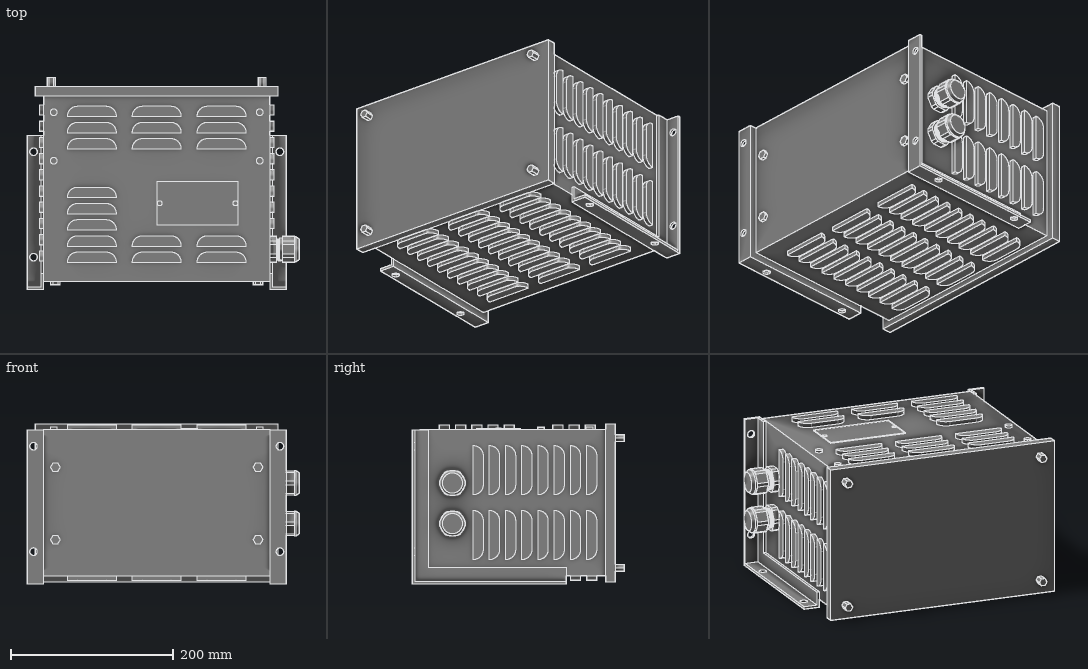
import cadquery as cq
import math

BOX_HALF_WIDTH = 139.5
BOX_FRONT = 9.7
BOX_BOTTOM = 10.0
BOX_TOP = 191.0
BOX_MID_HEIGHT = (BOX_BOTTOM + BOX_TOP) / 2

PLATE_WIDTH = 299.7
PLATE_BOTTOM = 2.5
PLATE_TOP = 197.5
PLATE_FRONT = 238.5
PLATE_THICKNESS = 12.0
PLATE_REAR = PLATE_FRONT + PLATE_THICKNESS
PLATE_MID_HEIGHT = (PLATE_BOTTOM + PLATE_TOP) / 2
STUD_ACROSS_FLATS = 8.7
STUD_LENGTH = 11.0
STUD_SPACING_X = 260.0
STUD_SPACING_Z = 160.0

BRACKET_LENGTH = 190.2
BRACKET_HEIGHT = 190.2
BRACKET_SHEET = 3.5
WEB_LEG = 20.0
BRACKET_OUTER_X = 160.0
FLANGE_WIDTH = BRACKET_OUTER_X - BOX_HALF_WIDTH
BRACKET_HOLE_DIAMETER = 9.0
BRACKET_HOLE_X = 152.0
BRACKET_HOLE_POSITIONS = (40.0, 170.0)

LOUVRE_LENGTH = 60.5
LOUVRE_DEPTH = 12.8
LOUVRE_CORNER_RADIUS = 12.5
LOUVRE_HEIGHT = 5.5
LOUVRE_COLUMN_PITCH = 80.0
LOUVRE_PITCH = LOUVRE_COLUMN_PITCH / 4
LOUVRE_ROWS = 10
SIDE_LOUVRE_FIRST_Y = 215.0
TOP_LOUVRE_FIRST_Y = 213.5
GLAND_SIDE_ROWS = 8
TOP_LEFT_ROWS = (0, 1, 2, 5, 6, 7, 8, 9)
TOP_OTHER_ROWS = (0, 1, 2, 8, 9)

TOP_SCREW_DIAMETER = 8.5
TOP_SCREW_HEIGHT = 2.7
TOP_SCREW_X = 127.0
TOP_SCREW_YS = (159.0, 218.7)
FRONT_BOLT_ACROSS_FLATS = 10.5
FRONT_BOLT_HEIGHT = 4.0
FRONT_BOLT_X = 125.0
FRONT_BOLT_ZS = (54.8, 144.0)

LABEL_WIDTH = 100.0
LABEL_DEPTH = 54.0
LABEL_THICKNESS = 1.0
LABEL_CENTRE = (50.5, 106.5)
RIVET_DIAMETER = 6.0
RIVET_SPACING = 93.5
RIVET_HEIGHT = 0.5

GLAND_Y = 49.7
GLAND_ZS = (74.5, 124.5)
GLAND_END_X = 176.0
HEX_ACROSS_FLATS = 30.0
HEX_TURNED_DIAMETER = 32.3
BASE_LENGTH = 8.0
NECK_LENGTH = 4.0
NECK_DIAMETER = 22.2
NECK_RIBS = 32
RIB_WIDTH = 1.0
RIB_DIAMETER = 25.0
COLLAR_LENGTH = 3.5
COLLAR_DIAMETER = 27.5
NUT_LENGTH = 14.8
CAP_DIAMETER = 31.0
CAP_TAPER_LENGTH = 4.0
CAP_TAPER_DEPTH = 3.0


def box_between(x_range, y_range, z_range):
    """Box given by its lower and upper limit along each axis."""
    size = [high - low for low, high in (x_range, y_range, z_range)]
    return cq.Workplane("XY").box(*size, centered=False).translate((x_range[0], y_range[0], z_range[0]))


def corner_diameter(across_flats):
    """Diameter over the corners of a hexagon."""
    return across_flats / math.cos(math.pi / 6)


def louvre_outline(plane):
    """Louvre outline: straight edge on the local X axis, rounded corners toward local +Y."""
    half = LOUVRE_LENGTH / 2
    straight = LOUVRE_DEPTH - LOUVRE_CORNER_RADIUS
    return (
        cq.Workplane(plane)
        .moveTo(-half, 0)
        .lineTo(half, 0)
        .lineTo(half, straight)
        .radiusArc((half - LOUVRE_CORNER_RADIUS, LOUVRE_DEPTH), -LOUVRE_CORNER_RADIUS)
        .lineTo(LOUVRE_CORNER_RADIUS - half, LOUVRE_DEPTH)
        .radiusArc((-half, straight), -LOUVRE_CORNER_RADIUS)
        .close()
    )


def louvre(x_direction, outward):
    """One louvre standing on a wall at the origin; its straight edge faces the front."""
    plane = cq.Plane(origin=(0, 0, 0), xDir=x_direction, normal=outward)
    return louvre_outline(plane).extrude(LOUVRE_HEIGHT)


def top_louvres():
    """Louvres on the top, leaving room for the label."""
    one = louvre((1, 0, 0), (0, 0, 1))
    placed = []
    for column, rows in ((-1, TOP_LEFT_ROWS), (0, TOP_OTHER_ROWS), (1, TOP_OTHER_ROWS)):
        for row in rows:
            y = TOP_LOUVRE_FIRST_Y - row * LOUVRE_PITCH
            placed.append(one.translate((column * LOUVRE_COLUMN_PITCH, y, BOX_TOP)))
    return placed


def bottom_louvres():
    """Full field of louvres on the underside."""
    one = louvre((-1, 0, 0), (0, 0, -1))
    placed = []
    for column in (-1, 0, 1):
        for row in range(LOUVRE_ROWS):
            y = SIDE_LOUVRE_FIRST_Y - row * LOUVRE_PITCH
            placed.append(one.translate((column * LOUVRE_COLUMN_PITCH, y, BOX_BOTTOM)))
    return placed


def side_louvres(side, rows):
    """Two columns of louvres on the left (side = -1) or right (side = 1) wall."""
    one = louvre((0, 0, -side), (side, 0, 0))
    placed = []
    for column in (-0.5, 0.5):
        z = BOX_MID_HEIGHT + column * LOUVRE_COLUMN_PITCH
        for row in range(rows):
            y = SIDE_LOUVRE_FIRST_Y - row * LOUVRE_PITCH
            placed.append(one.translate((side * BOX_HALF_WIDTH, y, z)))
    return placed


def right_bracket():
    """Bracket on the right wall, with two holes in each flange."""
    wall = BOX_HALF_WIDTH
    web_x = (wall, wall + BRACKET_SHEET)
    flange_x = (wall, wall + FLANGE_WIDTH)
    upright = box_between(web_x, (0, WEB_LEG), (0, BRACKET_HEIGHT))
    foot = box_between(web_x, (0, BRACKET_LENGTH), (0, WEB_LEG))
    front_flange = box_between(flange_x, (0, BRACKET_SHEET), (0, BRACKET_HEIGHT))
    bottom_flange = box_between(flange_x, (0, BRACKET_LENGTH), (0, BRACKET_SHEET))
    front_holes = (
        cq.Workplane("XZ")
        .pushPoints([(BRACKET_HOLE_X, z) for z in BRACKET_HOLE_POSITIONS])
        .circle(BRACKET_HOLE_DIAMETER / 2)
        .extrude(-BRACKET_SHEET)
    )
    bottom_holes = (
        cq.Workplane("XY")
        .pushPoints([(BRACKET_HOLE_X, y) for y in BRACKET_HOLE_POSITIONS])
        .circle(BRACKET_HOLE_DIAMETER / 2)
        .extrude(BRACKET_SHEET)
    )
    bracket = upright.union(foot).union(front_flange).union(bottom_flange)
    return bracket.cut(front_holes).cut(bottom_holes)


def rear_studs():
    """Four hexagonal studs behind the rear plate."""
    return (
        cq.Workplane("XZ", origin=(0, PLATE_REAR, PLATE_MID_HEIGHT))
        .rarray(STUD_SPACING_X, STUD_SPACING_Z, 2, 2)
        .polygon(6, corner_diameter(STUD_ACROSS_FLATS))
        .extrude(-STUD_LENGTH)
    )


def front_bolts():
    """Four hexagonal bolt heads on the front wall."""
    return (
        cq.Workplane("XZ", origin=(0, BOX_FRONT, 0))
        .pushPoints([(side * FRONT_BOLT_X, z) for side in (-1, 1) for z in FRONT_BOLT_ZS])
        .polygon(6, corner_diameter(FRONT_BOLT_ACROSS_FLATS))
        .extrude(FRONT_BOLT_HEIGHT)
    )


def top_screws():
    """Four round screw heads on the top."""
    return (
        cq.Workplane("XY", origin=(0, 0, BOX_TOP))
        .pushPoints([(side * TOP_SCREW_X, y) for side in (-1, 1) for y in TOP_SCREW_YS])
        .circle(TOP_SCREW_DIAMETER / 2)
        .extrude(TOP_SCREW_HEIGHT)
    )


def label():
    """Label plate on the top with its two rivets."""
    base = cq.Workplane("XY", origin=(*LABEL_CENTRE, BOX_TOP))
    plate = base.rect(LABEL_WIDTH, LABEL_DEPTH).extrude(LABEL_THICKNESS)
    rivets = (
        base.rarray(RIVET_SPACING, 3.5, 2, 1)
        .circle(RIVET_DIAMETER / 2)
        .extrude(LABEL_THICKNESS + RIVET_HEIGHT)
    )
    return plate.union(rivets)


def make_enclosure():
    """Box, rear plate, brackets, louvres, label and fasteners as one solid."""
    box_x = (-BOX_HALF_WIDTH, BOX_HALF_WIDTH)
    plate_x = (-PLATE_WIDTH / 2, PLATE_WIDTH / 2)
    enclosure = box_between(box_x, (BOX_FRONT, PLATE_FRONT), (BOX_BOTTOM, BOX_TOP))
    rear_plate = box_between(plate_x, (PLATE_FRONT, PLATE_REAR), (PLATE_BOTTOM, PLATE_TOP))
    bracket = right_bracket()
    parts = [rear_plate, bracket, bracket.mirror("YZ")]
    parts += [rear_studs(), front_bolts(), top_screws(), label()]
    parts += top_louvres()
    parts += bottom_louvres()
    parts += side_louvres(-1, LOUVRE_ROWS)
    parts += side_louvres(1, GLAND_SIDE_ROWS)
    solids = [solid for part in parts for solid in part.vals()]
    return cq.Workplane(enclosure.val().fuse(*solids))


def turned_hexagon(start, length):
    """Hexagonal section along X with flats up and down and its corners turned to a cylinder."""
    plane = cq.Workplane("YZ", origin=(start, 0, 0))
    hexagon = plane.polygon(6, corner_diameter(HEX_ACROSS_FLATS)).extrude(length)
    return hexagon.intersect(plane.circle(HEX_TURNED_DIAMETER / 2).extrude(length))


def ribbed_neck(start):
    """Narrow neck with radial ribs along it."""
    plane = cq.Workplane("YZ", origin=(start, 0, 0))
    neck = plane.circle(NECK_DIAMETER / 2).extrude(NECK_LENGTH)
    ribs = (
        plane.polarArray(RIB_DIAMETER / 4, 0, 360, NECK_RIBS)
        .rect(RIB_DIAMETER / 2, RIB_WIDTH)
        .extrude(NECK_LENGTH)
    )
    return neck.union(ribs)


def make_gland():
    """Cable gland on the X axis: hexagonal base, neck, collar, hexagonal nut and tapered cap."""
    neck_start = BOX_HALF_WIDTH + BASE_LENGTH
    collar_start = neck_start + NECK_LENGTH
    nut_start = collar_start + COLLAR_LENGTH
    cap_start = nut_start + NUT_LENGTH
    collar = (
        cq.Workplane("YZ", origin=(collar_start, 0, 0))
        .circle(COLLAR_DIAMETER / 2)
        .extrude(COLLAR_LENGTH)
    )
    cap = (
        cq.Workplane("YZ", origin=(cap_start, 0, 0))
        .circle(CAP_DIAMETER / 2)
        .extrude(GLAND_END_X - cap_start)
        .faces(">X")
        .edges()
        .chamfer(CAP_TAPER_LENGTH, CAP_TAPER_DEPTH)
    )
    gland = turned_hexagon(BOX_HALF_WIDTH, BASE_LENGTH)
    for section in (ribbed_neck(neck_start), collar, turned_hexagon(nut_start, NUT_LENGTH), cap):
        gland = gland.union(section)
    return gland


enclosure = make_enclosure()
gland_at_axis = make_gland()
glands = [gland_at_axis.translate((0, GLAND_Y, z)) for z in GLAND_ZS]

result = cq.Compound.makeCompound([enclosure.val(), *[gland.val() for gland in glands]])